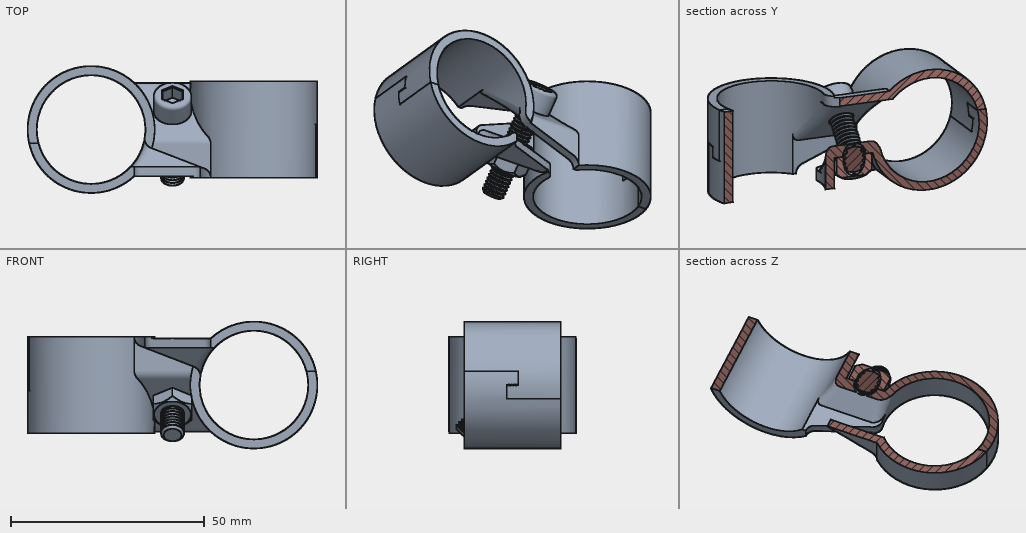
import cadquery as cq
import math


pipe_diameter = 28.0
wall = 2.4
ring_width = 25.0
ring_spacing = 42.0
bore_radius = pipe_diameter / 2
ring_radius = bore_radius + wall
ring_offset = ring_spacing / 2

flange_outer = 12.05
flange_inner = flange_outer - wall
seat_distance = 6.75
seat_sum = seat_distance * math.sqrt(2)
inner_sum = (seat_distance - wall) * math.sqrt(2)
outer_bend_radius = 2.9

edge_slope = 0.385
edge_height_at_center = -6.88
rounding_radius = 2.6
edge_end_x = ring_offset - math.sqrt(ring_radius**2 - flange_outer**2)

tab_reach = 3.5
tab_overlap = 2.85
tab_gap = 0.2

thread_diameter = 6.0
thread_pitch = 1.0
thread_depth = 0.55
crest_flat = thread_pitch / 8
tip_chamfer = 0.7
screw_length = 25.0
head_diameter = 9.8
head_height = 6.0
head_fillet = 0.9
socket_flats = 5.0
socket_depth = 4.0
socket_chamfer = 0.25
clearance_diameter = 6.6

nut_flats = 10.0
nut_height = 4.0
nut_face_radius = 4.75

reach = ring_radius + 1.0

bolt_axis = (0, 1, 1)


def swap_rings(body):
    """Half turn about the screw axis: the left ring's place becomes the right ring's."""
    return body.rotate((0, 0, 0), bolt_axis, 180)


def on_both_rings(body):
    return body.union(swap_rings(body))


def left_cylinder(radius, length=ring_width):
    cylinder = cq.Workplane("XY").circle(radius).extrude(length / 2, both=True)
    return cylinder.translate((-ring_offset, 0, 0))


def between_axes(profile):
    """Extrude a YZ outline from one ring axis to the other."""
    return cq.Workplane("YZ", origin=(-ring_offset, 0, 0)).polyline(profile).close().extrude(ring_spacing)


def outside_bend(flange, bend_sum):
    """Region beyond a bent surface: two flange faces joined by the web face y + z = bend_sum."""
    corner = bend_sum - flange
    return between_axes(
        [
            (flange, -reach),
            (flange, corner),
            (corner, flange),
            (-reach, flange),
            (-reach, reach),
            (reach, reach),
            (reach, -reach),
        ]
    )


def bent_plate():
    corner = seat_sum - flange_outer
    upper_bend = cq.selectors.NearestToPointSelector((0, corner, flange_outer))
    side_bend = cq.selectors.NearestToPointSelector((0, flange_outer, corner))
    beyond = outside_bend(flange_outer, seat_sum).edges(upper_bend + side_bend).fillet(outer_bend_radius)
    square = cq.Workplane("XY").box(ring_spacing, ring_width, ring_width)
    return outside_bend(flange_inner, inner_sum).cut(beyond).intersect(square)


def bore_rounding():
    """Sliver that rounds the edge between the web's inner face and the left bore."""
    span = 2 * reach
    web = between_axes([(inner_sum - span, span), (span, span), (span, inner_sum - span)])
    web = web.cut(left_cylinder(bore_radius, 4 * span))
    middle = inner_sum / 2
    edge_x = -ring_offset + math.sqrt(bore_radius**2 - middle**2)
    edge = cq.selectors.NearestToPointSelector((edge_x, middle, middle))
    sliver = web.cut(web.edges(edge).fillet(rounding_radius))
    between_flanges = cq.Workplane("XY").box(ring_spacing, 2 * flange_inner, 2 * flange_inner)
    return sliver.intersect(between_flanges)


def edge_height(x):
    return edge_height_at_center - edge_slope * x


def edge_trim():
    """Region kept by the slanted flange edge, rounded where it meets the left bore and right ring."""
    bore_side_x = -ring_offset + bore_radius
    bore_corner = cq.selectors.NearestToPointSelector((bore_side_x, edge_height(bore_side_x), 0))
    ring_corner = cq.selectors.NearestToPointSelector((edge_end_x, edge_height(edge_end_x), 0))
    outline = [
        (-ring_offset, edge_height(-ring_offset)),
        (edge_end_x, edge_height(edge_end_x)),
        (edge_end_x, -reach),
        (ring_offset, -reach),
        (ring_offset, reach),
        (-ring_offset, reach),
    ]
    trim = cq.Workplane("XY").polyline(outline).close().extrude(reach, both=True)
    trim = trim.cut(left_cylinder(bore_radius, 2 * reach))
    return trim.edges(bore_corner + ring_corner).fillet(rounding_radius)


def lap_region():
    """Region of one shell beyond the left ring's axis, stepped where the shells overlap."""
    half_overlap = tab_overlap / 2
    half_gap = tab_gap / 2
    profile = [
        (reach, -reach),
        (tab_reach, -reach),
        (tab_reach, half_overlap),
        (-half_gap, half_overlap),
        (-half_gap, -half_overlap),
        (-tab_reach, -half_overlap),
        (-tab_reach, reach),
        (reach, reach),
    ]
    return cq.Workplane("YZ", origin=(-ring_offset, 0, 0)).polyline(profile).close().extrude(-reach)


def make_shell():
    """Shell on the +Y +Z side."""
    trim = edge_trim()
    bridge_region = outside_bend(flange_inner, inner_sum).cut(on_both_rings(bore_rounding()))
    bridge_region = bridge_region.intersect(trim).intersect(swap_rings(trim))
    region = bridge_region.union(on_both_rings(lap_region()))

    rings = on_both_rings(left_cylinder(ring_radius))
    bores = on_both_rings(left_cylinder(bore_radius))
    shell = rings.union(bent_plate()).cut(bores).intersect(region)
    hole = cq.Workplane("XY").circle(clearance_diameter / 2).extrude(reach)
    return shell.cut(to_bolt_axis(hole))


def to_bolt_axis(body):
    """Turn a body made along +Z onto the screw axis."""
    return body.rotate((0, 0, 0), (1, 0, 0), -45)


def make_screw():
    tip = seat_distance - screw_length
    thread_radius = thread_diameter / 2
    root_radius = thread_radius - thread_depth
    profile = cq.Workplane("XZ").moveTo(0, tip).lineTo(thread_radius - tip_chamfer, tip)
    profile = profile.lineTo(thread_radius, tip + tip_chamfer)
    turns = int((screw_length - tip_chamfer) / thread_pitch)
    for turn in range(turns):
        start = tip + tip_chamfer + turn * thread_pitch
        profile = profile.lineTo(thread_radius, start + crest_flat)
        profile = profile.lineTo(root_radius, start + (thread_pitch + crest_flat) / 2)
        profile = profile.lineTo(thread_radius, start + thread_pitch)
    shank = profile.lineTo(thread_radius, seat_distance).lineTo(0, seat_distance).close().revolve()

    head = cq.Workplane("XY", origin=(0, 0, seat_distance)).circle(head_diameter / 2).extrude(head_height)
    head = head.faces(">Z").edges().fillet(head_fillet)
    head_top = cq.Workplane("XY", origin=(0, 0, seat_distance + head_height))
    socket = head_top.polygon(6, socket_flats, circumscribed=True).extrude(-socket_depth)
    chamfer = head_top.polygon(6, socket_flats + 2 * socket_chamfer, circumscribed=True)
    chamfer = chamfer.extrude(-socket_chamfer, taper=45)
    return to_bolt_axis(shank.union(head).cut(socket).cut(chamfer))


def make_nut():
    """Hexagon with two flats facing along X and its outer corners turned off at 45 degrees."""
    outer_face = -seat_distance - nut_height
    nut = (
        cq.Workplane("XY", origin=(0, 0, outer_face))
        .polygon(6, nut_flats, circumscribed=True)
        .circle(thread_diameter / 2)
        .extrude(nut_height)
    )
    base_radius = nut_face_radius + nut_height
    turning = (
        cq.Workplane("XZ")
        .moveTo(0, outer_face)
        .lineTo(nut_face_radius, outer_face)
        .lineTo(base_radius, -seat_distance)
        .lineTo(0, -seat_distance)
        .close()
        .revolve()
    )
    return to_bolt_axis(nut.intersect(turning))


upper_shell = make_shell()
screw = make_screw()
nut = make_nut()
lower_shell = upper_shell.rotate((0, 0, 0), (1, 0, 0), 180).cut(nut)

result = cq.Compound.makeCompound([upper_shell.val(), lower_shell.val(), screw.val(), nut.val()])